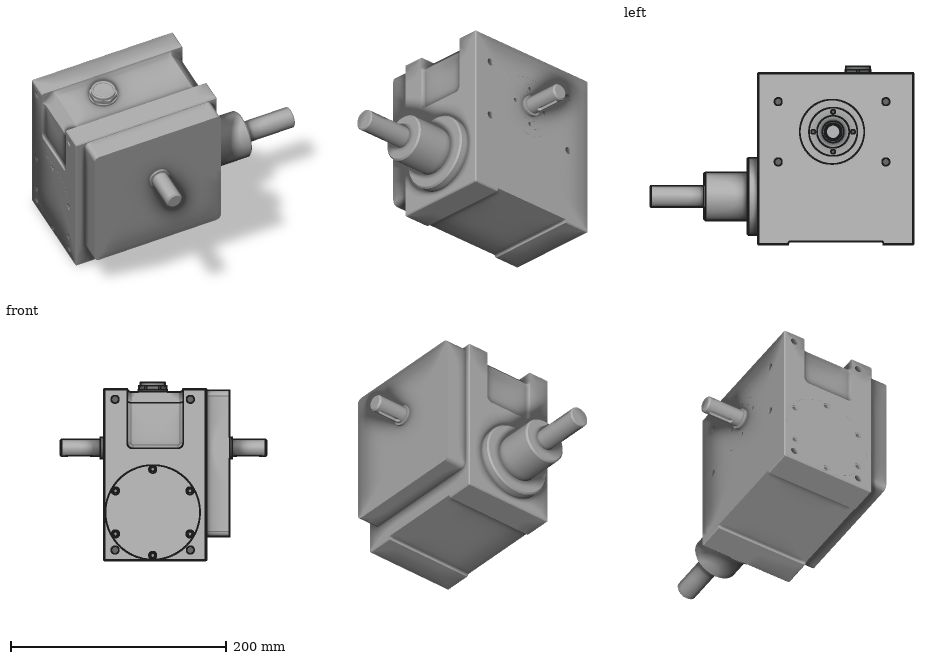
import cadquery as cq
import math


CENTRE_DISTANCE = 60.0
HOUSING_LEFT = -45.5
HOUSING_RIGHT = 50.0
HOUSING_FRONT = -75.0
HOUSING_BACK = 70.0
HOUSING_BOTTOM = -45.0
HOUSING_TOP = 115.0
HOUSING_CHAMFER = 1.0
HOUSING_MID_X = (HOUSING_LEFT + HOUSING_RIGHT) / 2
HOUSING_MID_Y = (HOUSING_FRONT + HOUSING_BACK) / 2

BAND_WIDTH = 52.0
BAND_DEPTH = 3.0
BAND_BOTTOM = CENTRE_DISTANCE - 0.5
BAND_BEVEL = 10.0
BAND_FILLET = 3.3
BAND_CORNER_RADIUS = 5.0
BAND_OVERRUN = 5.0

RELIEF_LENGTH = 88.0
RELIEF_DEPTH = 3.0
RELIEF_FILLET = 1.5

BLOCK_RIGHT = 71.5
BLOCK_LENGTH = 130.0
BLOCK_HEIGHT = 136.0
BLOCK_MID_Y = -1.0
BLOCK_MID_Z = 45.5
BLOCK_CORNER_RADIUS = 5.0

FLANGE_DIAMETER = 72.0
FLANGE_BACK = 80.0
SLEEVE_DIAMETER = 45.0
SLEEVE_BACK = 120.0
WORM_SHAFT_DIAMETER = 20.0
WORM_SHAFT_BACK = 170.0
COLLAR_CHAMFER = 1.5
WORM_SHAFT_CHAMFER = 1.0

SHAFT_DIAMETER = 16.0
SHAFT_LEFT = -86.0
SHAFT_RIGHT = 106.0
SHAFT_CHAMFER = 1.5
SHOULDER_DIAMETER = 20.0
SHOULDER_LEFT = -48.8
SHOULDER_RIGHT = 73.8
KEYWAY_WIDTH = 5.0
KEYWAY_DEPTH = 3.0
KEYWAY_LENGTH = 25.0
KEYWAY_END_GAP = 5.0

MOUNT_HOLE_DIAMETER = 7.0
MOUNT_HOLE_DEPTH = 15.0
FRONT_HOLE_SPACING_X = 70.0
FRONT_HOLE_SPACING_Z = 140.0
FRONT_HOLE_MID_Z = (HOUSING_BOTTOM + HOUSING_TOP) / 2
SIDE_HOLE_SPACING_Y = 100.0
SIDE_HOLE_SPACING_Z = 56.0
SIDE_HOLE_MID_Y = 1.0

GROOVE_WIDTH = 0.1
GROOVE_DEPTH = 0.2
FRONT_COVER_DIAMETER = 88.0
SCREW_COUNT = 6
SCREW_CIRCLE_RADIUS = 40.0
SCREW_HEAD_DIAMETER = 7.0
SCREW_HEAD_SINK = 0.5
SCREW_SOCKET_ACROSS_FLATS = 4.0
SCREW_SOCKET_DEPTH = 2.0
BEARING_COVER_DIAMETER = 60.0
BEARING_COVER_MID_Y = SIDE_HOLE_MID_Y
BEARING_RING_DIAMETERS = (45.0, 30.0)
BEARING_HOLE_COUNT = 4
BEARING_HOLE_DIAMETER = 4.0
BEARING_HOLE_RADIUS = 18.5
BEARING_HOLE_DEPTH = 5.0

PLUG_Y = -23.0
PLUG_SEAT_Z = HOUSING_TOP - BAND_DEPTH
PLUG_WASHER_DIAMETER = 27.0
PLUG_WASHER_THICKNESS = 1.7
PLUG_HEX_DIAMETER = 26.0
PLUG_HEX_ACROSS_FLATS = 23.5
PLUG_HEX_TOP = 117.5
PLUG_CAP_DIAMETER = 23.0
PLUG_TOP = 121.0
PLUG_DISH_DIAMETER = 18.4
PLUG_DISH_DEPTH = 1.2
PLUG_RIM_FILLET = 1.1


def box(x_range, y_range, z_range):
    """Box between pairs of limits."""
    size = [high - low for low, high in (x_range, y_range, z_range)]
    origin = (x_range[0], y_range[0], z_range[0])
    return cq.Workplane("XY").box(*size, centered=False).translate(origin)


def rod_x(diameter, start, end):
    """Cylinder along the cross shaft axis."""
    plane = cq.Workplane("YZ", origin=(start, 0, CENTRE_DISTANCE))
    return plane.circle(diameter / 2).extrude(end - start)


def rod_y(diameter, start, end):
    """Cylinder along the worm axis."""
    plane = cq.Workplane("XZ", origin=(0, start, 0))
    return plane.circle(diameter / 2).extrude(start - end)


def ring_groove(plane, diameter):
    """Solid of a fine circular groove, GROOVE_DEPTH deep along the plane normal."""
    outer_radius = diameter / 2
    return plane.circle(outer_radius).circle(outer_radius - GROOVE_WIDTH).extrude(GROOVE_DEPTH)


def band_cutter():
    """Inverted U that wraps the housing, rounded where its floor meets its walls."""
    half_width = BAND_WIDTH / 2
    front_floor = HOUSING_FRONT + BAND_DEPTH
    back_floor = HOUSING_BACK - BAND_DEPTH
    top_floor = HOUSING_TOP - BAND_DEPTH
    shell = box(
        (HOUSING_MID_X - half_width, HOUSING_MID_X + half_width),
        (HOUSING_FRONT - BAND_OVERRUN, HOUSING_BACK + BAND_OVERRUN),
        (BAND_BOTTOM, HOUSING_TOP + BAND_OVERRUN),
    )
    shell = shell.edges("|Y and <Z").fillet(BAND_CORNER_RADIUS)
    core = (
        cq.Workplane("YZ", origin=(HOUSING_MID_X - BAND_WIDTH, 0, 0))
        .moveTo(front_floor, HOUSING_BOTTOM)
        .lineTo(front_floor, top_floor - BAND_BEVEL)
        .lineTo(front_floor + BAND_BEVEL, top_floor)
        .lineTo(back_floor - BAND_BEVEL, top_floor)
        .lineTo(back_floor, top_floor - BAND_BEVEL)
        .lineTo(back_floor, HOUSING_BOTTOM)
        .close()
        .extrude(2 * BAND_WIDTH)
    )
    cutter = shell.cut(core)
    return cutter.faces("<X or >X").edges().fillet(BAND_FILLET)


def foot_relief():
    """Shallow channel along X under the housing."""
    half_length = RELIEF_LENGTH / 2
    relief = box(
        (HOUSING_LEFT, HOUSING_RIGHT),
        (HOUSING_MID_Y - half_length, HOUSING_MID_Y + half_length),
        (HOUSING_BOTTOM, HOUSING_BOTTOM + RELIEF_DEPTH),
    )
    return relief.edges("|X and >Z").fillet(RELIEF_FILLET)


def housing():
    body = box(
        (HOUSING_LEFT, HOUSING_RIGHT),
        (HOUSING_FRONT, HOUSING_BACK),
        (HOUSING_BOTTOM, HOUSING_TOP),
    )
    body = body.edges().chamfer(HOUSING_CHAMFER)
    return body.cut(band_cutter()).cut(foot_relief())


def side_block():
    plane = cq.Workplane("YZ", origin=(HOUSING_RIGHT, BLOCK_MID_Y, BLOCK_MID_Z))
    block = plane.rect(BLOCK_LENGTH, BLOCK_HEIGHT).extrude(BLOCK_RIGHT - HOUSING_RIGHT)
    return block.edges("|X").fillet(BLOCK_CORNER_RADIUS)


def worm_shaft():
    flange = rod_y(FLANGE_DIAMETER, HOUSING_BACK, FLANGE_BACK).edges(">Y").chamfer(COLLAR_CHAMFER)
    sleeve = rod_y(SLEEVE_DIAMETER, HOUSING_BACK, SLEEVE_BACK).edges(">Y").chamfer(COLLAR_CHAMFER)
    shaft = rod_y(WORM_SHAFT_DIAMETER, HOUSING_BACK, WORM_SHAFT_BACK)
    shaft = shaft.edges(">Y").chamfer(WORM_SHAFT_CHAMFER)
    return flange.union(sleeve).union(shaft)


def keyway(centre_x):
    """Round-ended keyway in the underside of the cross shaft."""
    shaft_bottom = CENTRE_DISTANCE - SHAFT_DIAMETER / 2
    plane = cq.Workplane("XY", origin=(centre_x, 0, shaft_bottom))
    return plane.slot2D(KEYWAY_LENGTH, KEYWAY_WIDTH).extrude(KEYWAY_DEPTH)


def cross_shaft():
    shaft = rod_x(SHAFT_DIAMETER, SHAFT_LEFT, SHAFT_RIGHT).faces("<X or >X").chamfer(SHAFT_CHAMFER)
    shaft = shaft.union(rod_x(SHOULDER_DIAMETER, SHOULDER_LEFT, SHOULDER_RIGHT))
    keyway_offset = KEYWAY_END_GAP + KEYWAY_LENGTH / 2
    for centre_x in (SHAFT_LEFT + keyway_offset, SHAFT_RIGHT - keyway_offset):
        shaft = shaft.cut(keyway(centre_x))
    return shaft


def filler_plug():
    """Washer, hexagon with turned-down corners, and a round cap with a shallow dish in a rounded rim."""
    seat = cq.Workplane("XY", origin=(0, PLUG_Y, PLUG_SEAT_Z))
    washer = seat.circle(PLUG_WASHER_DIAMETER / 2).extrude(PLUG_WASHER_THICKNESS)
    hex_height = PLUG_HEX_TOP - PLUG_SEAT_Z
    hex_corners = PLUG_HEX_ACROSS_FLATS / math.cos(math.pi / 6)
    hexagon = seat.polygon(6, hex_corners).extrude(hex_height)
    hexagon = hexagon.intersect(seat.circle(PLUG_HEX_DIAMETER / 2).extrude(hex_height))
    cap = seat.circle(PLUG_CAP_DIAMETER / 2).extrude(PLUG_TOP - PLUG_SEAT_Z)
    dish_plane = cq.Workplane("XY", origin=(0, PLUG_Y, PLUG_TOP))
    cap = cap.cut(dish_plane.circle(PLUG_DISH_DIAMETER / 2).extrude(-PLUG_DISH_DEPTH))
    cap = cap.faces(">Z").edges().fillet(PLUG_RIM_FILLET)
    return washer.union(hexagon).union(cap)


def mounting_holes():
    front = (
        cq.Workplane("XZ", origin=(0, HOUSING_FRONT, FRONT_HOLE_MID_Z))
        .rarray(FRONT_HOLE_SPACING_X, FRONT_HOLE_SPACING_Z, 2, 2)
        .circle(MOUNT_HOLE_DIAMETER / 2)
        .extrude(-MOUNT_HOLE_DEPTH)
    )
    side = (
        cq.Workplane("YZ", origin=(HOUSING_LEFT, SIDE_HOLE_MID_Y, CENTRE_DISTANCE))
        .rarray(SIDE_HOLE_SPACING_Y, SIDE_HOLE_SPACING_Z, 2, 2)
        .circle(MOUNT_HOLE_DIAMETER / 2)
        .extrude(MOUNT_HOLE_DEPTH)
    )
    return front.union(side)


def front_cover_cuts():
    """Cover outline and sunk socket screws around the worm axis."""
    face = cq.Workplane(cq.Plane((0, HOUSING_FRONT, 0), (-1, 0, 0), (0, 1, 0)))
    screws = face.polarArray(SCREW_CIRCLE_RADIUS, 90, 360, SCREW_COUNT, rotate=False)
    heads = screws.circle(SCREW_HEAD_DIAMETER / 2).extrude(SCREW_HEAD_SINK)
    socket_corners = SCREW_SOCKET_ACROSS_FLATS / math.cos(math.pi / 6)
    sockets = screws.polygon(6, socket_corners).extrude(SCREW_SOCKET_DEPTH)
    return ring_groove(face, FRONT_COVER_DIAMETER).union(heads).union(sockets)


def bearing_cover_cuts():
    """Cover outline, rings and small holes around the cross shaft."""
    face = cq.Workplane("YZ", origin=(HOUSING_LEFT, 0, CENTRE_DISTANCE))
    cuts = (
        face.polarArray(BEARING_HOLE_RADIUS, 0, 360, BEARING_HOLE_COUNT)
        .circle(BEARING_HOLE_DIAMETER / 2)
        .extrude(BEARING_HOLE_DEPTH)
    )
    cover_face = cq.Workplane("YZ", origin=(HOUSING_LEFT, BEARING_COVER_MID_Y, CENTRE_DISTANCE))
    cuts = cuts.union(ring_groove(cover_face, BEARING_COVER_DIAMETER))
    for diameter in BEARING_RING_DIAMETERS:
        cuts = cuts.union(ring_groove(face, diameter))
    return cuts


result = (
    housing()
    .union(side_block())
    .union(worm_shaft())
    .union(cross_shaft())
    .union(filler_plug())
    .cut(mounting_holes())
    .cut(front_cover_cuts())
    .cut(bearing_cover_cuts())
)